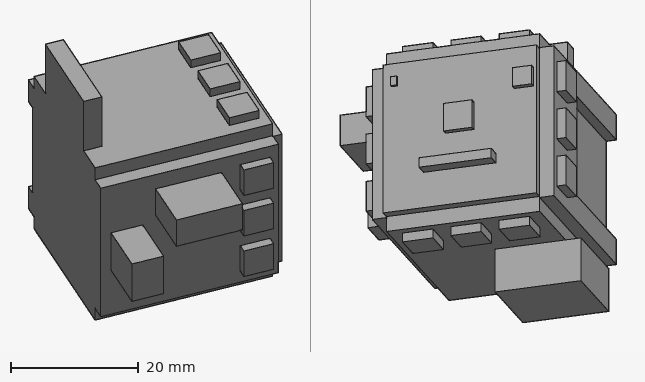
import cadquery as cq


body_side = 30.05
body_depth = 30.0
corner_step = 2.35

back_plate_width = body_side - 2 * corner_step
back_plate_height = 25.0
back_plate_thickness = 1.6

pad_side = 5.05
pad_thickness = 1.5
pad_pitch = 8.0
pad_back_margin = 1.4
pad_rows = (-1, 0, 1)

tab_width = 15.9
tab_height = 9.75
tab_thickness = 3.05

recess_height = 16.8
recess_length = 19.0
recess_depth = 1.7

connector_reach = 8.65
upper_connector_height = 5.15
upper_connector_top = 9.85
upper_connector_width = 11.15
upper_connector_front = 9.25
lower_connector_height = 7.4
lower_connector_top = 3.4
lower_connector_width = 5.35
lower_connector_front = 1.75

foot_length = 14.2
foot_width = 13.35
foot_height = 7.25
foot_overhang = 0.2
foot_front = 4.25

bar_width = 11.95
bar_height = 1.6
bar_reach = 2.2
bar_z = -5.75
button_reach = 0.95
small_button_side = 3.15
small_button_x = -10.6
small_button_z = 7.2
large_button_side = 4.65
large_button_z = 1.95
indicator_width = 1.0
indicator_height = 1.5
indicator_reach = 0.45
indicator_x = 10.75
indicator_top = 10.15

half_side = body_side / 2
plate_back = body_depth + back_plate_thickness


def block(x_start, x_size, y_start, y_size, z_start, z_size):
    """Box given by its lowest corner and its size along each axis."""
    return cq.Workplane("XY").box(x_size, y_size, z_size, centered=False).translate((x_start, y_start, z_start))


def make_body():
    wide = block(-half_side, body_side, 0, body_depth, corner_step - half_side, body_side - 2 * corner_step)
    tall = block(corner_step - half_side, body_side - 2 * corner_step, 0, body_depth, -half_side, body_side)
    plate = block(
        -back_plate_width / 2, back_plate_width,
        body_depth, back_plate_thickness,
        -back_plate_height / 2, back_plate_height,
    )
    return wide.union(tall).union(plate)


def make_recess():
    return block(-half_side, recess_depth, 0, recess_length, -recess_height / 2, recess_height)


def make_tab():
    return block(-tab_width / 2, tab_width, 0, tab_thickness, half_side, tab_height)


def make_side_pads():
    """Row of pads on top of the body, repeated around the Y axis on all four sides."""
    pad_front = body_depth - pad_back_margin - pad_side
    pads = cq.Workplane("XY")
    for side_angle in (0, 90, 180, 270):
        for row in pad_rows:
            pad = block(
                row * pad_pitch - pad_side / 2, pad_side,
                pad_front, pad_side,
                half_side, pad_thickness,
            )
            pads = pads.add(pad.rotate((0, 0, 0), (0, 1, 0), side_angle))
    return pads.combine()


def make_connector(front, width, top, height):
    return block(half_side, connector_reach, front, width, top - height, height)


def make_foot():
    return block(
        -half_side - foot_overhang, foot_length,
        foot_front, foot_width,
        -half_side - foot_height, foot_height,
    )


def make_back_detail(x_centre, z_centre, width, height, reach):
    return block(x_centre - width / 2, width, plate_back, reach, z_centre - height / 2, height)


result = (
    make_body()
    .cut(make_recess())
    .union(make_tab())
    .union(make_side_pads())
    .union(make_foot())
)

result = result.union(make_connector(
    upper_connector_front, upper_connector_width, upper_connector_top, upper_connector_height))
result = result.union(make_connector(
    lower_connector_front, lower_connector_width, lower_connector_top, lower_connector_height))

indicator_z = indicator_top - indicator_height / 2
back_details = (
    (0, bar_z, bar_width, bar_height, bar_reach),
    (small_button_x, small_button_z, small_button_side, small_button_side, button_reach),
    (0, large_button_z, large_button_side, large_button_side, button_reach),
    (indicator_x, indicator_z, indicator_width, indicator_height, indicator_reach),
)
for detail in back_details:
    result = result.union(make_back_detail(*detail))